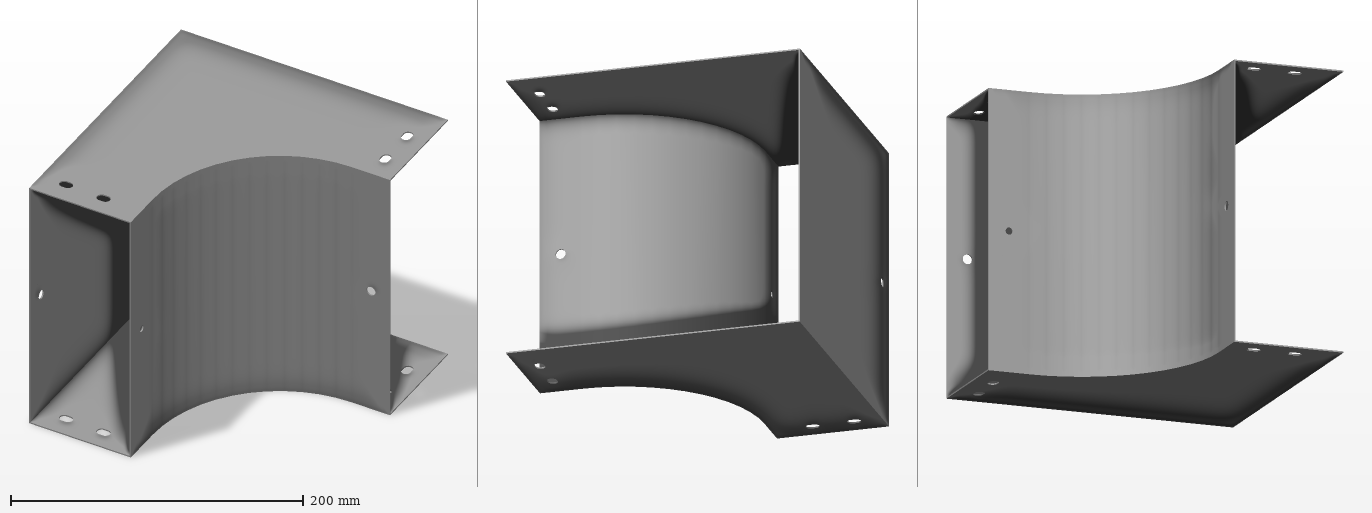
import cadquery as cq
import math

side = 210.0
height = 200.0
wall = 1.0

leg_width = 80.0
leg_straight = 30.0
bend_radius = side - leg_width - leg_straight

end_setback = 15.0
large_hole_diameter = 7.0
small_hole_diameter = 5.0

slot_length = 10.0
slot_width = 7.0
slot_edge_distance = 20.0
slot_spacing = 30.0
outer_slot_shift = 1.0

half = side / 2
inner_x = leg_width - half
inner_y = half - leg_width
x_leg_line = half - end_setback
y_leg_line = end_setback - half


def elbow(inset):
    """Elbow prism with the walled sides and plates set in by inset, open sides kept flush."""
    depth = height - 2 * inset
    outer_x = inset - half
    wall_x = inner_x - inset
    wall_y = inner_y + inset
    radius = bend_radius + inset
    center_x = wall_x + radius
    center_y = wall_y - radius
    diagonal = radius * math.sqrt(0.5)
    bend_middle = (center_x - diagonal, center_y + diagonal)
    return (
        cq.Workplane("XY")
        .workplane(offset=-depth / 2)
        .moveTo(outer_x, -half)
        .lineTo(wall_x, -half)
        .lineTo(wall_x, center_y)
        .threePointArc(bend_middle, (center_x, wall_y))
        .lineTo(half, wall_y)
        .lineTo(half, half)
        .lineTo(outer_x, half)
        .close()
        .extrude(depth)
    )


def wall_hole(x, y, direction, diameter):
    """Cutter for a mid-height hole that runs one wall thickness from (x, y) along direction."""
    start = cq.Vector(x, y, 0)
    return cq.Solid.makeCylinder(diameter / 2, wall, start, cq.Vector(*direction))


def plate_slot(x, y, angle):
    """Cutter for a round-ended slot through both plates, its length at angle to the X axis."""
    return (
        cq.Workplane("XY")
        .workplane(offset=-height / 2)
        .center(x, y)
        .slot2D(slot_length, slot_width, angle)
        .extrude(height)
    )


result = elbow(0).cut(elbow(wall))

result = result.cut(wall_hole(-half, y_leg_line, (1, 0, 0), large_hole_diameter))
result = result.cut(wall_hole(inner_x, y_leg_line, (-1, 0, 0), small_hole_diameter))
result = result.cut(wall_hole(x_leg_line, inner_y, (0, 1, 0), large_hole_diameter))

for index, shift in enumerate((outer_slot_shift, 0)):
    distance = slot_edge_distance + index * slot_spacing
    y_leg_slot = plate_slot(distance - half, y_leg_line + shift, 0)
    x_leg_slot = plate_slot(x_leg_line, inner_y + distance, 90)
    result = result.cut(y_leg_slot).cut(x_leg_slot)